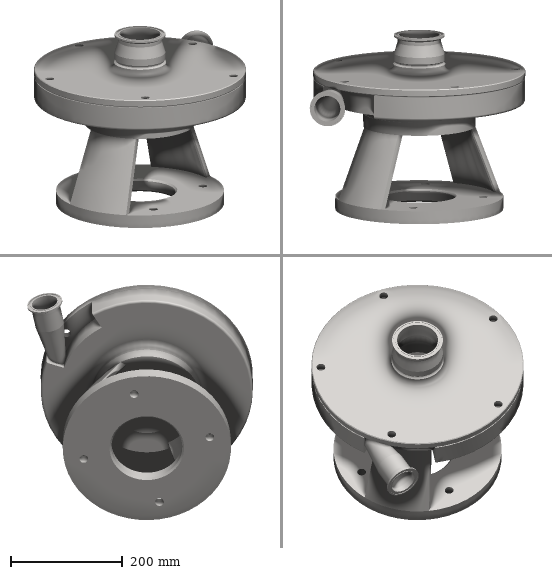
import cadquery as cq
import math

overall_length = 459.5
overall_width = 379.0

base_radius = 150.5
base_height = 23.5
base_bore_radius = 63.5
base_bore_chamfer = 3.0
base_hole_radius = 8.0
base_hole_circle_radius = 115.0
base_hole_count = 4

ring_radius = 100.0
ring_bottom = 151.0
ring_height = 23.5
stub_radius = 55.0
stub_length = 8.5

leg_thickness = 12.0
leg_chamfer = 3.0
leg_top_width = 95.5
leg_bottom_width = 119.5

casing_radius = 189.5
casing_bottom = 195.0
casing_height = 42.7
casing_fillet = 4.0
neck_radius = 99.0
neck_fillet = 10.0

relief_start_angle = 75.0
relief_end_angle = 115.3

outlet_angle = 135.0
outlet_offset = 145.0
outlet_height = 217.5
outlet_cone_start = 55.0
outlet_cone_end = 158.5
outlet_bore_cone_end = 165.5
outlet_cone_small_radius = 10.5
outlet_pipe_radius = 25.7
outlet_flange_radius = 31.5

lid_radius = overall_width / 2
lid_gap = 1.0
lid_height = 13.5
lid_chamfer = 1.5
seat_radius = 156.3
lid_hole_radius = 8.0
lid_hole_circle_radius = 173.0
lid_hole_count = 5
first_lid_hole_angle = 90.0

collar_radius = 45.5
collar_flare = 10.5
lip_radius = 47.0
lip_height = 1.5
groove_radius = 43.0
groove_slope = 2.8
groove_height = 2.0
reducer_radius = 45.5
reducer_start = 270.0
reducer_cone_start = 282.5
reducer_cone_end = 303.5
bore_cone_start = 266.0
bore_cone_end = 287.5
inlet_pipe_radius = 39.0
inlet_flange_radius = 45.5
inlet_end = 316.5

pipe_wall = 2.55
flange_rim = 3.0
flange_taper = 3.5
seal_groove_width = 3.5
seal_groove_depth = 1.0

ring_top = ring_bottom + ring_height
casing_top = casing_bottom + casing_height
lid_bottom = casing_top + lid_gap
lid_top = lid_bottom + lid_height

outlet_end = (overall_length - lid_radius) * math.sqrt(2) - outlet_offset - outlet_flange_radius


def disc(radius, bottom, top):
    """Upright cylinder on the Z axis."""
    return cq.Workplane("XY").workplane(offset=bottom).circle(radius).extrude(top - bottom)


def revolved(points):
    """Solid of revolution about Z from (radius, height) points."""
    return cq.Workplane("XZ").polyline(points).close().revolve(360, (0, 0), (0, 1))


def holes_on_circle(radius, circle_radius, count, first_angle, bottom, top):
    """Upright cylinders spaced evenly on a circle, used as cutters."""
    return (
        cq.Workplane("XY")
        .workplane(offset=bottom)
        .polarArray(circle_radius, first_angle, 360, count)
        .circle(radius)
        .extrude(top - bottom)
    )


def clamp_flange(pipe_radius, flange_radius, end):
    """Clamp flange at the end of a pipe along Z, tapered at its back."""
    rim_back = end - flange_rim
    return revolved(
        [
            (0, end),
            (flange_radius, end),
            (flange_radius, rim_back),
            (pipe_radius, rim_back - flange_taper),
            (0, rim_back - flange_taper),
        ]
    )


def seal_groove(pipe_radius, flange_radius, end):
    """Ring cutter for the seal groove in a flange face, midway across it."""
    middle = (pipe_radius - pipe_wall + flange_radius) / 2
    outer = disc(middle + seal_groove_width / 2, end - seal_groove_depth, end)
    inner = disc(middle - seal_groove_width / 2, end - seal_groove_depth, end)
    return outer.cut(inner)


def make_base():
    base = disc(base_radius, 0, base_height)
    base = base.cut(disc(base_bore_radius, 0, base_height))
    base = base.edges(cq.selectors.RadiusNthSelector(0)).chamfer(base_bore_chamfer)
    first_angle = 180 / base_hole_count
    return base.cut(
        holes_on_circle(
            base_hole_radius, base_hole_circle_radius, base_hole_count, first_angle, 0, base_height
        )
    )


def make_legs():
    """Front and back leg: a conical shell trimmed to a tapering width."""
    shell = revolved(
        [
            (base_radius - leg_thickness, base_height),
            (base_radius, base_height),
            (ring_radius, ring_bottom),
            (ring_radius - leg_thickness, ring_bottom),
        ]
    )
    width = (
        cq.Workplane("XZ")
        .polyline(
            [
                (-leg_bottom_width / 2, base_height),
                (leg_bottom_width / 2, base_height),
                (leg_top_width / 2, ring_bottom),
                (-leg_top_width / 2, ring_bottom),
            ]
        )
        .close()
        .extrude(base_radius, both=True)
    )
    legs = shell.intersect(width)

    middle_radius = (base_radius + ring_radius - leg_thickness) / 2
    middle_width = (leg_bottom_width + leg_top_width) / 2
    inner_reach = math.sqrt(middle_radius**2 - (middle_width / 2) ** 2)
    inner_edges = cq.selectors.BoxSelector(
        (-base_radius, -inner_reach, base_height + leg_thickness),
        (base_radius, inner_reach, ring_bottom - leg_thickness),
    )
    return legs.edges(inner_edges).chamfer(leg_chamfer)


def make_chamber():
    """Round chamber on a neck, with a relief cut into its rim."""
    chamber = disc(casing_radius, casing_bottom, casing_top).edges("<Z").fillet(casing_fillet)
    start = math.radians(relief_start_angle)
    end = math.radians(relief_end_angle)
    reach = 2 * casing_radius
    wedge = (
        cq.Workplane("XY")
        .workplane(offset=casing_bottom)
        .polyline(
            [
                (0, 0),
                (reach * math.cos(start), reach * math.sin(start)),
                (reach * math.cos(end), reach * math.sin(end)),
            ]
        )
        .close()
        .extrude(casing_height)
    )
    chamber = chamber.cut(wedge.cut(disc(seat_radius, casing_bottom, casing_top)))
    neck = (
        cq.Workplane("XZ")
        .moveTo(0, ring_top)
        .lineTo(neck_radius, ring_top)
        .lineTo(neck_radius, casing_bottom - neck_fillet)
        .radiusArc((neck_radius + neck_fillet, casing_bottom), neck_fillet)
        .lineTo(0, casing_bottom)
        .close()
        .revolve(360, (0, 0), (0, 1))
    )
    return chamber.union(neck)


def along_outlet(shape):
    """Lays a shape built along Z onto the outlet axis."""
    lateral_angle = math.radians(outlet_angle - 90)
    return (
        shape.rotate((0, 0, 0), (0, 1, 0), 90)
        .rotate((0, 0, 0), (0, 0, 1), outlet_angle)
        .translate(
            (
                outlet_offset * math.cos(lateral_angle),
                outlet_offset * math.sin(lateral_angle),
                outlet_height,
            )
        )
    )


def outlet_form(inset, cone_end):
    """Cone and straight pipe of the outlet, shrunk radially by the inset."""
    return revolved(
        [
            (0, outlet_cone_start),
            (outlet_cone_small_radius - inset, outlet_cone_start),
            (outlet_pipe_radius - inset, cone_end),
            (outlet_pipe_radius - inset, outlet_end),
            (0, outlet_end),
        ]
    )


def make_lower_body():
    ring = disc(ring_radius, ring_bottom, ring_top)
    stub = disc(stub_radius, ring_bottom - stub_length, ring_bottom)
    outlet = outlet_form(0, outlet_cone_end).union(
        clamp_flange(outlet_pipe_radius, outlet_flange_radius, outlet_end)
    )
    outlet_bore = outlet_form(pipe_wall, outlet_bore_cone_end).union(
        seal_groove(outlet_pipe_radius, outlet_flange_radius, outlet_end)
    )
    body = make_base().union(make_legs()).union(ring).union(stub).union(make_chamber())
    return body.union(along_outlet(outlet)).cut(along_outlet(outlet_bore))


def make_lid_plate():
    plate = disc(lid_radius, lid_bottom, lid_top).edges().chamfer(lid_chamfer)
    plate = plate.union(disc(seat_radius, casing_top, lid_bottom))
    return plate.cut(
        holes_on_circle(
            lid_hole_radius,
            lid_hole_circle_radius,
            lid_hole_count,
            first_lid_hole_angle,
            lid_bottom,
            lid_top,
        )
    )


def make_inlet():
    """Outside of the inlet as one solid of revolution."""
    collar_top = lid_top + collar_flare
    lip_top = collar_top + lip_height
    groove_bottom = lip_top + groove_slope
    groove_top = groove_bottom + groove_height
    tube = (
        cq.Workplane("XZ")
        .moveTo(0, lid_top)
        .lineTo(collar_radius + collar_flare, lid_top)
        .radiusArc((collar_radius, collar_top), collar_flare)
        .lineTo(lip_radius, collar_top)
        .lineTo(lip_radius, lip_top)
        .lineTo(groove_radius, groove_bottom)
        .lineTo(groove_radius, groove_top)
        .lineTo(reducer_radius, reducer_start)
        .lineTo(reducer_radius, reducer_cone_start)
        .lineTo(inlet_pipe_radius, reducer_cone_end)
        .lineTo(inlet_pipe_radius, inlet_end)
        .lineTo(0, inlet_end)
        .close()
        .revolve(360, (0, 0), (0, 1))
    )
    return tube.union(clamp_flange(inlet_pipe_radius, inlet_flange_radius, inlet_end))


def inlet_bore():
    """Bore through inlet and lid, widening below the pipe."""
    pipe_bore = inlet_pipe_radius - pipe_wall
    wide_bore = groove_radius - pipe_wall
    return revolved(
        [
            (0, casing_top),
            (wide_bore, casing_top),
            (wide_bore, bore_cone_start),
            (pipe_bore, bore_cone_end),
            (pipe_bore, inlet_end),
            (0, inlet_end),
        ]
    )


def make_upper_body():
    body = make_lid_plate().union(make_inlet()).cut(inlet_bore())
    return body.cut(seal_groove(inlet_pipe_radius, inlet_flange_radius, inlet_end))


lower_body = make_lower_body()
upper_body = make_upper_body()

result = cq.Compound.makeCompound([lower_body.val(), upper_body.val()])